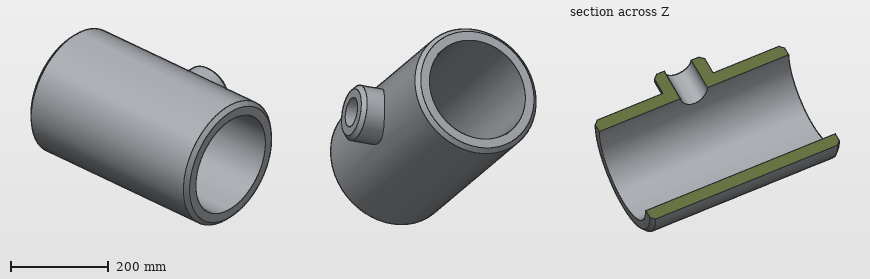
import cadquery as cq

run_length = 432.0
run_diameter = 273.0
run_bore = 216.0

branch_diameter = 115.5
branch_bore = 60.5
branch_reach = 184.5

bevel = 9.0


def run_cylinder(diameter):
    """Cylinder along X over the full run length, centred on the origin."""
    return cq.Workplane("YZ").circle(diameter / 2).extrude(run_length / 2, both=True)


def branch_cylinder(diameter):
    """Cylinder from the run axis out to the branch end face."""
    return cq.Workplane("XZ").circle(diameter / 2).extrude(-branch_reach)


run = run_cylinder(run_diameter).faces("<X or >X").chamfer(bevel)
branch = branch_cylinder(branch_diameter).faces(">Y").chamfer(bevel)

bores = run_cylinder(run_bore).union(branch_cylinder(branch_bore))

result = run.union(branch).cut(bores)